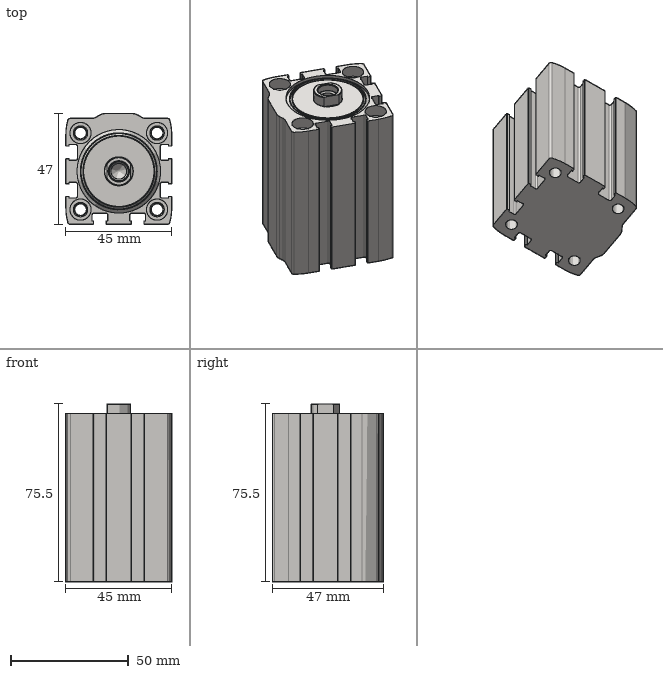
import cadquery as cq
import math

housing_width = 45.0
half_width = housing_width / 2
housing_height = 71.5
side_arc_radius = 22.65
side_arc_start = 15.55
corner_radius = 1.1

pad_top = 24.5
pad_top_half_width = 6.95
pad_foot_half_width = 10.5
pad_crest_radius = 5.0
pad_foot_radius = 3.0

slot_offset = 8.0
slot_mouth_width = 5.3
slot_inner_width = 6.6
slot_lip = 1.4
side_slot_depth = 4.9
front_slot_depth = 4.7
slot_corner_radius = 0.7
slot_mouth_radius = 0.2

mount_offset = 16.2
mount_bore_diameter = 9.0
mount_bore_depth = 5.0
mount_hole_diameter = 4.9
mount_chamfer = 0.6

recess_diameter = 35.4
collar_outer_diameter = 32.6
collar_inner_diameter = 32.0
collar_slope = 30.0
cover_diameter = 29.8
cover_bevel_diameter = 30.4
cover_bevel_slope = 20.0
cover_slope = 40.0
cover_recess = 0.5
cover_top = housing_height - cover_recess

rod_diameter = 12.0
rod_top = 75.5
rod_length = 37.75
rod_base = rod_top - rod_length
rod_chamfer = 0.2
flat_width = 10.0
flat_runout_angle = 30.0
flat_overrun = 0.3
rod_hole_chamfer = 0.15

socket_diameter = 8.4
socket_mouth_diameter = 9.0
socket_depth = 3.0
countersink_diameter = 8.0
drill_diameter = 6.65
drill_depth = 15.1
drill_point_angle = 118.0


def slope_drop(run, angle):
    """Height lost by a slope of the given angle in degrees over a horizontal run."""
    return run * math.tan(math.radians(angle))


def revolve_profile(points):
    """Solid of revolution about Z from (radius, height) points."""
    return cq.Workplane("XZ").polyline(points).close().revolve(360, (0, 0), (0, 1))


def housing_block():
    arc_run = half_width - side_arc_start
    arc_inset = side_arc_radius - math.sqrt(side_arc_radius**2 - arc_run**2)
    corner = half_width - arc_inset
    block = (
        cq.Workplane("XY")
        .moveTo(-half_width, -side_arc_start)
        .radiusArc((-corner, -half_width), -side_arc_radius)
        .lineTo(corner, -half_width)
        .radiusArc((half_width, -side_arc_start), -side_arc_radius)
        .lineTo(half_width, side_arc_start)
        .radiusArc((corner, half_width), -side_arc_radius)
        .lineTo(pad_foot_half_width, half_width)
        .lineTo(pad_top_half_width, pad_top)
        .lineTo(-pad_top_half_width, pad_top)
        .lineTo(-pad_foot_half_width, half_width)
        .lineTo(-corner, half_width)
        .radiusArc((-half_width, side_arc_start), -side_arc_radius)
        .close()
        .extrude(housing_height)
    )
    for x, y, radius in [
        (corner, half_width, corner_radius),
        (corner, -half_width, corner_radius),
        (pad_foot_half_width, half_width, pad_foot_radius),
        (pad_top_half_width, pad_top, pad_crest_radius),
    ]:
        for side in (-1, 1):
            edge = cq.selectors.NearestToPointSelector((side * x, y, housing_height / 2))
            block = block.edges(edge).fillet(radius)
    return block


def t_slot(depth):
    """T-slot cutter opening toward -Y, centred on X = 0, with rounded mouth and floor corners."""
    mouth_half = slot_mouth_width / 2
    mouth_outer = mouth_half + slot_mouth_radius
    mouth = (
        cq.Workplane("XY")
        .moveTo(-mouth_outer, 0)
        .lineTo(mouth_outer, 0)
        .radiusArc((mouth_half, slot_mouth_radius), -slot_mouth_radius)
        .lineTo(mouth_half, slot_lip)
        .lineTo(-mouth_half, slot_lip)
        .lineTo(-mouth_half, slot_mouth_radius)
        .radiusArc((-mouth_outer, 0), -slot_mouth_radius)
        .close()
        .extrude(housing_height)
    )
    inner = (
        cq.Workplane("XY")
        .center(0, (slot_lip + depth) / 2)
        .rect(slot_inner_width, depth - slot_lip)
        .extrude(housing_height)
        .edges("|Z and >Y")
        .fillet(slot_corner_radius)
    )
    return mouth.union(inner).translate((0, -half_width, 0))


def cut_t_slots(body):
    for offset in (-slot_offset, slot_offset):
        body = body.cut(t_slot(front_slot_depth).translate((offset, 0, 0)))
        side_slot = t_slot(side_slot_depth).translate((offset, 0, 0))
        for angle in (-90, 90):
            body = body.cut(side_slot.rotate((0, 0, 0), (0, 0, 1), angle))
    return body


def mount_hole():
    bore_radius = mount_bore_diameter / 2
    hole_radius = mount_hole_diameter / 2
    ledge = housing_height - mount_bore_depth
    return revolve_profile([
        (0, 0),
        (hole_radius, 0),
        (hole_radius, ledge - mount_chamfer),
        (hole_radius + mount_chamfer, ledge),
        (bore_radius, ledge),
        (bore_radius, housing_height),
        (0, housing_height),
    ])


def cover_groove():
    """Material removed above the end cover and the sloped collar around it."""
    recess_radius = recess_diameter / 2
    collar_outer_radius = collar_outer_diameter / 2
    collar_inner_radius = collar_inner_diameter / 2
    cover_radius = cover_diameter / 2
    bevel_radius = cover_bevel_diameter / 2
    bevel_foot = cover_top - slope_drop(bevel_radius - cover_radius, cover_bevel_slope)
    cover_foot = bevel_foot - slope_drop(collar_inner_radius - bevel_radius, cover_slope)
    collar_foot = cover_top - slope_drop(recess_radius - collar_outer_radius, collar_slope)
    return revolve_profile([
        (0, housing_height),
        (0, cover_top),
        (cover_radius, cover_top),
        (bevel_radius, bevel_foot),
        (collar_inner_radius, cover_foot),
        (collar_inner_radius, cover_top),
        (collar_outer_radius, cover_top),
        (recess_radius, collar_foot),
        (recess_radius, housing_height),
    ])


def rod_cylinder():
    return cq.Workplane("XY").workplane(offset=rod_base).circle(rod_diameter / 2).extrude(rod_length)


def rod_hole():
    """Blind hole that the rod fills, with a small chamfer at its mouth in the cover face."""
    hole_radius = rod_diameter / 2
    mouth = revolve_profile([
        (0, cover_top),
        (hole_radius + rod_hole_chamfer, cover_top),
        (hole_radius, cover_top - rod_hole_chamfer),
        (0, cover_top - rod_hole_chamfer),
    ])
    return rod_cylinder().union(mouth)


def make_housing():
    body = cut_t_slots(housing_block())
    for x in (-mount_offset, mount_offset):
        for y in (-mount_offset, mount_offset):
            body = body.cut(mount_hole().translate((x, y, 0)))
    return body.cut(cover_groove()).cut(rod_hole())


def rod_flat():
    """Cutter for the flat on the +X side, running out at a slope to the full rod diameter."""
    inner = flat_width / 2
    outer = rod_diameter / 2
    runout_top = cover_top - flat_overrun
    runout_foot = runout_top - slope_drop(outer - inner, flat_runout_angle)
    return (
        cq.Workplane("XZ")
        .polyline([(inner, rod_top), (inner, runout_top), (outer, runout_foot), (outer, rod_top)])
        .close()
        .extrude(outer, both=True)
    )


def rod_socket():
    mouth_radius = socket_mouth_diameter / 2
    socket_radius = socket_diameter / 2
    countersink_radius = countersink_diameter / 2
    drill_radius = drill_diameter / 2
    socket_floor = rod_top - socket_depth
    drill_end = rod_top - drill_depth
    point_length = drill_radius / math.tan(math.radians(drill_point_angle / 2))
    return revolve_profile([
        (0, rod_top),
        (mouth_radius, rod_top),
        (socket_radius, rod_top - (mouth_radius - socket_radius)),
        (socket_radius, socket_floor),
        (countersink_radius, socket_floor),
        (drill_radius, socket_floor - (countersink_radius - drill_radius)),
        (drill_radius, drill_end),
        (0, drill_end - point_length),
    ])


def make_rod():
    rod = rod_cylinder().faces(">Z").chamfer(rod_chamfer)
    flat = rod_flat()
    rod = rod.cut(flat).cut(flat.mirror("YZ"))
    return rod.cut(rod_socket())


housing = make_housing()
rod = make_rod()
result = cq.Compound.makeCompound([housing.val(), rod.val()])